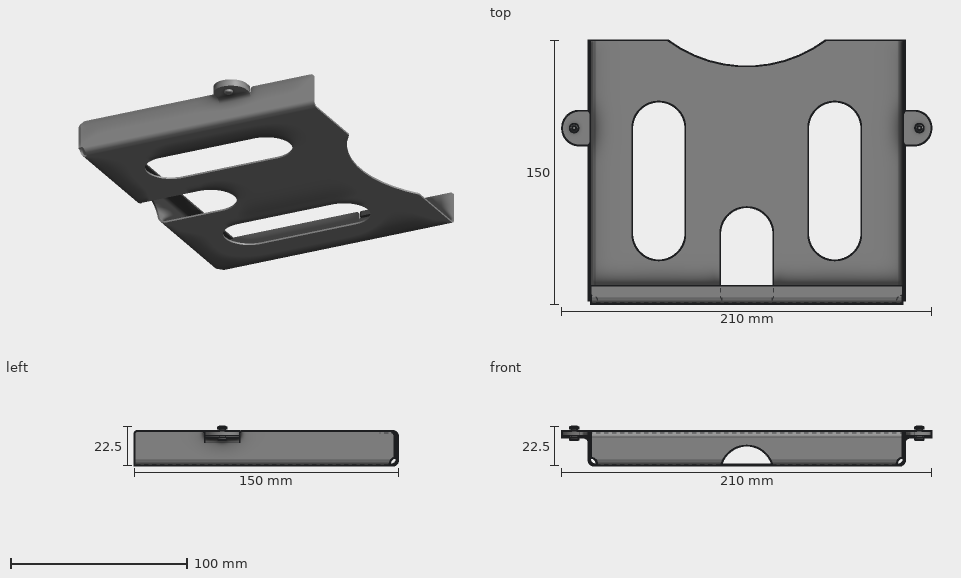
import cadquery as cq
import math

SHEET = 1.0
BEND_INNER = 2.5
BEND_OUTER = BEND_INNER + SHEET
TRAY_WIDTH = 180.0
TRAY_DEPTH = 150.0
TRAY_HEIGHT = 20.0
HALF_WIDTH = TRAY_WIDTH / 2

FRONT_INSET = 1.5
FRONT_HALF = HALF_WIDTH - FRONT_INSET
LIP_DEPTH = 10.5

SIDE_START = 2.0
FRONT_CORNER_RADIUS = BEND_OUTER
BACK_CORNER_RADIUS = 2.0

RELIEF_RADIUS = 3.0
RELIEF_OFFSET = 2.0
RELIEF_DOME_Z = 2.3

SLOT_WIDTH = 30.0
SLOT_LENGTH = 90.0
SLOT_X = 50.0
SLOT_Y = 70.0
THUMB_WIDTH = SLOT_WIDTH
THUMB_END = 55.0
THUMB_ARCH_DROP = 3.5
SCOOP_RADIUS = 75.0
SCOOP_DEPTH = 15.0

MOUNT_Y = 100.0
TAB_WIDTH = 20.0
TAB_REACH = 105.0
TAB_RADIUS = TAB_WIDTH / 2
TAB_ROUND_X = TAB_REACH - TAB_RADIUS
PAD_THICKNESS = 3.0
PAD_CORNER_RADIUS = 2.0
PAD_END_X = HALF_WIDTH - SHEET
TAB_TOP = TRAY_HEIGHT - PAD_THICKNESS
TAB_BOTTOM = TAB_TOP - SHEET
TAB_BEND_INNER = BEND_INNER
TAB_BEND_OUTER = TAB_BEND_INNER + SHEET
TAB_BEND_START = TAB_TOP - TAB_BEND_OUTER
NOTCH_CORNER_RADIUS = 1.5

RIVET_X = 98.0
SHANK_RADIUS = 1.75
HEAD_RADIUS = 2.5
FOOT_THICKNESS = 1.5
RIM_BOTTOM = 1.3
RIM_TOP = 2.0
HEAD_TOP = 2.5
HEAD_TOP_RADIUS = 1.15
FOOT_CHAMFER = 0.5

DIAGONAL = math.sqrt(0.5)
SIDES = (-1, 1)


def on_side(shape, side):
    """The +X shape itself, or its mirror image for the -X side."""
    return shape if side > 0 else shape.mirror("YZ")


def make_floor():
    inner_width = TRAY_WIDTH - 2 * BEND_OUTER
    return cq.Workplane("XY").box(
        inner_width, TRAY_DEPTH - BEND_OUTER, SHEET, centered=(True, False, False)
    ).translate((0, BEND_OUTER, 0))


def make_front_channel():
    """C-shaped section: lower bend, front wall, upper bend and lip."""
    inner_start = BEND_OUTER - BEND_INNER * DIAGONAL
    outer_start = BEND_OUTER * (1 - DIAGONAL)
    section = (
        cq.Workplane("YZ")
        .moveTo(BEND_OUTER, 0)
        .threePointArc((outer_start, outer_start), (0, BEND_OUTER))
        .lineTo(0, TRAY_HEIGHT - BEND_OUTER)
        .threePointArc((outer_start, TRAY_HEIGHT - outer_start), (BEND_OUTER, TRAY_HEIGHT))
        .lineTo(LIP_DEPTH, TRAY_HEIGHT)
        .lineTo(LIP_DEPTH, TRAY_HEIGHT - SHEET)
        .lineTo(BEND_OUTER, TRAY_HEIGHT - SHEET)
        .threePointArc((inner_start, TRAY_HEIGHT - inner_start), (SHEET, TRAY_HEIGHT - BEND_OUTER))
        .lineTo(SHEET, BEND_OUTER)
        .threePointArc((inner_start, inner_start), (BEND_OUTER, SHEET))
        .close()
    )
    return section.extrude(FRONT_HALF, both=True)


def make_side_wall():
    """+X side wall with its bend up from the floor."""
    bend_x = HALF_WIDTH - BEND_OUTER
    bend_z = BEND_OUTER
    wall = (
        cq.Workplane("XZ", origin=(0, SIDE_START, 0))
        .moveTo(bend_x, 0)
        .threePointArc(
            (bend_x + BEND_OUTER * DIAGONAL, bend_z - BEND_OUTER * DIAGONAL), (HALF_WIDTH, bend_z)
        )
        .lineTo(HALF_WIDTH, TRAY_HEIGHT)
        .lineTo(HALF_WIDTH - SHEET, TRAY_HEIGHT)
        .lineTo(HALF_WIDTH - SHEET, bend_z)
        .threePointArc(
            (bend_x + BEND_INNER * DIAGONAL, bend_z - BEND_INNER * DIAGONAL), (bend_x, SHEET)
        )
        .close()
        .extrude(-(TRAY_DEPTH - SIDE_START))
    )
    wall = wall.edges("|X").edges(">Z").edges("<Y").fillet(FRONT_CORNER_RADIUS)
    wall = wall.edges("|X").edges(">Y").edges(">Z").fillet(BACK_CORNER_RADIUS)

    notch_height = TRAY_HEIGHT - TAB_BEND_START
    notch = cq.Workplane("XY").box(
        2 * SHEET, TAB_WIDTH, notch_height, centered=(True, True, False)
    ).translate((HALF_WIDTH - SHEET / 2, MOUNT_Y, TAB_BEND_START))
    wall = wall.cut(notch)
    for edge_side in SIDES:
        edge_y = MOUNT_Y + edge_side * TAB_RADIUS
        corner = cq.selectors.NearestToPointSelector((HALF_WIDTH - SHEET / 2, edge_y, TRAY_HEIGHT))
        wall = wall.edges(corner).fillet(NOTCH_CORNER_RADIUS)
    return wall


def mount_plate(inner_x, bottom, thickness):
    """+X plate from inner_x outward, with a round end."""
    return (
        cq.Workplane("XY", origin=(0, MOUNT_Y, bottom))
        .moveTo(inner_x, -TAB_RADIUS)
        .lineTo(TAB_ROUND_X, -TAB_RADIUS)
        .threePointArc((TAB_REACH, 0), (TAB_ROUND_X, TAB_RADIUS))
        .lineTo(inner_x, TAB_RADIUS)
        .close()
        .extrude(thickness)
    )


def rivet_hole_plug(bottom, thickness):
    """Cylinder that cuts the rivet hole through one +X plate."""
    return (
        cq.Workplane("XY", origin=(RIVET_X, MOUNT_Y, bottom)).circle(SHANK_RADIUS).extrude(thickness)
    )


def make_tab():
    """+X tab, bent outward from the side wall."""
    bend_x = HALF_WIDTH + TAB_BEND_INNER
    bend = (
        cq.Workplane("XZ", origin=(0, MOUNT_Y, 0))
        .moveTo(HALF_WIDTH, TAB_BEND_START)
        .threePointArc(
            (bend_x - TAB_BEND_INNER * DIAGONAL, TAB_BEND_START + TAB_BEND_INNER * DIAGONAL),
            (bend_x, TAB_BOTTOM),
        )
        .lineTo(bend_x, TAB_TOP)
        .threePointArc(
            (bend_x - TAB_BEND_OUTER * DIAGONAL, TAB_BEND_START + TAB_BEND_OUTER * DIAGONAL),
            (HALF_WIDTH - SHEET, TAB_BEND_START),
        )
        .close()
        .extrude(TAB_RADIUS, both=True)
    )
    plate = mount_plate(bend_x, TAB_BOTTOM, SHEET)
    return bend.union(plate).cut(rivet_hole_plug(TAB_BOTTOM, SHEET))


def make_floor_slots():
    return (
        cq.Workplane("XY")
        .pushPoints([(side * SLOT_X, SLOT_Y) for side in SIDES])
        .slot2D(SLOT_LENGTH, SLOT_WIDTH, 90)
        .extrude(SHEET)
    )


def make_thumb_cut():
    """Open slot in the floor that runs into an arch in the front wall."""
    radius = THUMB_WIDTH / 2
    floor_cut = (
        cq.Workplane("XY")
        .moveTo(-radius, BEND_OUTER)
        .lineTo(-radius, THUMB_END - radius)
        .threePointArc((0, THUMB_END), (radius, THUMB_END - radius))
        .lineTo(radius, BEND_OUTER)
        .close()
        .extrude(SHEET)
    )
    arch = (
        cq.Workplane("XZ")
        .center(0, -THUMB_ARCH_DROP)
        .circle(radius)
        .extrude(-BEND_OUTER)
    )
    return floor_cut.union(arch)


def make_back_scoop():
    centre_y = TRAY_DEPTH - SCOOP_DEPTH + SCOOP_RADIUS
    return cq.Workplane("XY").center(0, centre_y).circle(SCOOP_RADIUS).extrude(SHEET)


def make_corner_relief(side):
    """Upright bore with a domed top, clearing the corner where the two bends meet."""
    centre = (side * (HALF_WIDTH - RELIEF_OFFSET), RELIEF_OFFSET, RELIEF_DOME_Z)
    dome = cq.Workplane("XY").sphere(RELIEF_RADIUS).translate(centre)
    bore = cq.Workplane("XY", origin=centre).circle(RELIEF_RADIUS).extrude(-RELIEF_DOME_Z)
    return bore.union(dome)


def make_tray():
    tray = make_floor().union(make_front_channel())
    for side in SIDES:
        tray = tray.union(on_side(make_side_wall(), side))
        tray = tray.union(on_side(make_tab(), side))
        tray = tray.cut(make_corner_relief(side))
    return tray.cut(make_floor_slots()).cut(make_thumb_cut()).cut(make_back_scoop())


def make_pad(side):
    """Pad lying on a tab and reaching through the notch in the side wall."""
    pad = mount_plate(PAD_END_X, TAB_TOP, PAD_THICKNESS)
    pad = pad.edges("|Z and <X").fillet(PAD_CORNER_RADIUS)
    pad = pad.cut(rivet_hole_plug(TAB_TOP, PAD_THICKNESS))
    return on_side(pad, side)


def make_rivet(side):
    """Turned rivet: foot under the tab, shank, and a head with a conical top above the pad."""
    foot_bottom = TAB_BOTTOM - FOOT_THICKNESS
    rivet = (
        cq.Workplane("XZ")
        .moveTo(0, foot_bottom)
        .lineTo(HEAD_RADIUS - FOOT_CHAMFER, foot_bottom)
        .lineTo(HEAD_RADIUS, foot_bottom + FOOT_CHAMFER)
        .lineTo(HEAD_RADIUS, TAB_BOTTOM)
        .lineTo(SHANK_RADIUS, TAB_BOTTOM)
        .lineTo(SHANK_RADIUS, TRAY_HEIGHT + RIM_BOTTOM)
        .lineTo(HEAD_RADIUS, TRAY_HEIGHT + RIM_BOTTOM)
        .lineTo(HEAD_RADIUS, TRAY_HEIGHT + RIM_TOP)
        .lineTo(HEAD_TOP_RADIUS, TRAY_HEIGHT + HEAD_TOP)
        .lineTo(0, TRAY_HEIGHT + HEAD_TOP)
        .close()
        .revolve(360, (0, 0, 0), (0, 1, 0))
        .translate((RIVET_X, MOUNT_Y, 0))
    )
    return on_side(rivet, side)


tray = make_tray()
pads = [make_pad(side) for side in SIDES]
rivets = [make_rivet(side) for side in SIDES]

result = cq.Compound.makeCompound(
    [tray.solids().val(), *[pad.solids().val() for pad in pads], *[rivet.solids().val() for rivet in rivets]]
)